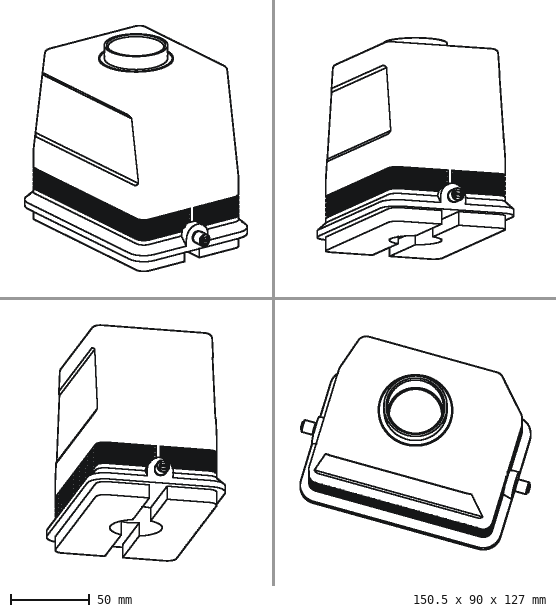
import cadquery as cq
import math

body_length = 121.0
body_width = 79.0
body_height = 118.2
corner_radius = 6.0
taper_start_height = 46.7
taper_angle = 10.0
taper_blend_radius = 7.0
top_edge_radius = 3.0

panel_depth = 1.0
panel_bottom = 57.0
panel_top = 102.8
panel_ramp_height = 2.0

flange_overhang = 5.5
flange_length = body_length + 2 * flange_overhang
flange_width = body_width + 2 * flange_overhang
flange_bottom = 8.75
flange_rim_height = 4.1
flange_slope_height = 5.1
foot_slot_width = 11.6

groove_count = 5
groove_bottom = 21.0
groove_width = 2.1
groove_pitch = 3.0
groove_depth = 1.0
groove_flank_height = 0.6
groove_gap_half_width = 1.25
groove_runout_radius = 3.1

pin_height = 17.4
lug_radius = 8.4
pin_neck_radius = 3.75
pin_neck_length = 1.0
pin_radius = 4.0
pin_length = 7.3
pin_chamfer = 0.3
pin_tip_radius = 2.5
pin_tip_height = 4.3
pin_tip_length = 0.95
pin_tip_slot_width = 1.0

overall_height = 127.0
neck_radius = 20.1
neck_bore_radius = 17.7
neck_bore_chamfer = 1.0
neck_bore_depth = 17.4
through_bore_radius = 16.6
ring_groove_outer_radius = 23.6
ring_groove_inner_radius = 23.1
ring_groove_depth = 0.5


def rounded_slab(length, width, radius, bottom, height, taper=0.0):
    """Rounded rectangle extruded up from a given height; a taper shrinks it."""
    outline = cq.Sketch().rect(length, width).vertices().fillet(radius)
    return cq.Workplane("XY", origin=(0, 0, bottom)).placeSketch(outline).extrude(height, taper=taper)


def both_ends(feature):
    """Feature at the -X end joined with its mirror image at the +X end."""
    return feature.union(feature.mirror("YZ"))


def make_body():
    half_length = body_length / 2
    lean = (body_height - taper_start_height) * math.tan(math.radians(taper_angle))
    body = (
        cq.Workplane("XZ", origin=(0, body_width / 2, 0))
        .moveTo(-half_length, 0)
        .lineTo(half_length, 0)
        .lineTo(half_length, taper_start_height)
        .lineTo(half_length - lean, body_height)
        .lineTo(-half_length + lean, body_height)
        .lineTo(-half_length, taper_start_height)
        .close()
        .extrude(body_width)
    )
    taper_edges = cq.selectors.BoxSelector(
        (-body_length, -body_width, taper_start_height - 1),
        (body_length, body_width, taper_start_height + 1),
    )
    body = body.edges("|Y").edges(taper_edges).fillet(taper_blend_radius)
    upright_edges = body.faces("<Y or >Y").edges("not(<Z or >Z)")
    body = upright_edges.fillet(corner_radius)
    return body.faces(">Z").edges().fillet(top_edge_radius)


def make_panel_cutter():
    """Trapezoidal bar that cuts the panel into the -Y face."""
    face = -body_width / 2
    floor = face + panel_depth
    return (
        cq.Workplane("YZ", origin=(-body_length / 2, 0, 0))
        .moveTo(face, panel_bottom)
        .lineTo(floor, panel_bottom + panel_ramp_height)
        .lineTo(floor, panel_top - panel_ramp_height)
        .lineTo(face, panel_top)
        .close()
        .extrude(body_length)
    )


def make_groove_gap():
    """Block at the -X end where the grooves run out to leave a smooth land."""
    face = -body_length / 2
    floor = face + groove_depth
    turn = math.acos(1 - groove_depth / groove_runout_radius)
    runout_half_width = groove_gap_half_width + groove_runout_radius * math.sin(turn)
    middle_depth = groove_runout_radius * (1 - math.cos(turn / 2))
    middle_half_width = runout_half_width - groove_runout_radius * math.sin(turn / 2)
    return (
        cq.Workplane("XY", origin=(0, 0, groove_bottom))
        .moveTo(face, -groove_gap_half_width)
        .threePointArc((floor - middle_depth, -middle_half_width), (floor, -runout_half_width))
        .lineTo(floor, runout_half_width)
        .threePointArc((floor - middle_depth, middle_half_width), (face, groove_gap_half_width))
        .close()
        .extrude((groove_count - 1) * groove_pitch + groove_width)
    )


def make_groove_cutter(bottom):
    """Trapezoidal ring around the body: a slab less its waisted core."""
    flank_angle = math.degrees(math.atan(groove_depth / groove_flank_height))
    ring = rounded_slab(body_length, body_width, corner_radius, bottom, groove_width)
    lower_flank = rounded_slab(
        body_length, body_width, corner_radius, bottom, groove_flank_height, flank_angle
    )
    upper_flank = lower_flank.mirror("XY", (0, 0, bottom + groove_width / 2))
    floor = rounded_slab(
        body_length - 2 * groove_depth,
        body_width - 2 * groove_depth,
        corner_radius - groove_depth,
        bottom,
        groove_width,
    )
    return ring.cut(floor).cut(lower_flank).cut(upper_flank)


def make_flange():
    radius = corner_radius + flange_overhang
    slope_bottom = flange_bottom + flange_rim_height
    slope_angle = math.degrees(math.atan(flange_overhang / flange_slope_height))
    rim = rounded_slab(flange_length, flange_width, radius, flange_bottom, flange_rim_height)
    slope = rounded_slab(
        flange_length, flange_width, radius, slope_bottom, flange_slope_height, slope_angle
    )
    return rim.union(slope)


def make_lug():
    """Round-topped lug flush with the -X rim of the flange."""
    depth = flange_overhang + groove_depth
    return (
        cq.Workplane("YZ", origin=(-flange_length / 2, 0, 0))
        .moveTo(-lug_radius, flange_bottom)
        .lineTo(-lug_radius, pin_height)
        .threePointArc((0, pin_height + lug_radius), (lug_radius, pin_height))
        .lineTo(lug_radius, flange_bottom)
        .close()
        .extrude(depth)
    )


def make_pin():
    """Pin pointing along -X, with a slotted tip flattened above and below."""
    lug_face = cq.Workplane("YZ", origin=(-flange_length / 2, 0, pin_height))
    neck = lug_face.circle(pin_neck_radius).extrude(-pin_neck_length)
    shank = lug_face.workplane(offset=-pin_neck_length).circle(pin_radius).extrude(-pin_length)
    shank = shank.faces("<X").chamfer(pin_chamfer)
    tip_plane = lug_face.workplane(offset=-pin_neck_length - pin_length)
    tip_flats = tip_plane.rect(2 * pin_tip_radius, pin_tip_height).extrude(-pin_tip_length)
    tip = tip_plane.circle(pin_tip_radius).extrude(-pin_tip_length).intersect(tip_flats)
    slot = tip_plane.rect(2 * pin_tip_radius, pin_tip_slot_width).extrude(-pin_tip_length)
    return neck.union(shank).union(tip.cut(slot))


def add_cable_entry(part):
    """Neck inside a fine ring groove, with a stepped bore down through the part."""
    top = cq.Workplane("XY", origin=(0, 0, body_height))
    ring_outline = top.circle(ring_groove_outer_radius).circle(ring_groove_inner_radius)
    ring_groove = ring_outline.extrude(-ring_groove_depth)
    neck = top.circle(neck_radius).extrude(overall_height - body_height)
    rim = cq.Workplane("XY", origin=(0, 0, overall_height))
    bore = rim.circle(neck_bore_radius).extrude(-neck_bore_depth)
    through_bore = rim.circle(through_bore_radius).extrude(-overall_height)
    part = part.cut(ring_groove).union(neck).cut(bore).cut(through_bore)
    mouth = cq.selectors.RadiusNthSelector(0)
    return part.faces(">Z").edges(mouth).chamfer(neck_bore_chamfer)


def cut_foot_slot(part):
    """Slot along the foot, from end to end, up to the flange."""
    slot = cq.Workplane("XY").rect(flange_length, foot_slot_width).extrude(flange_bottom)
    return part.cut(slot)


body = make_body()

panel = make_panel_cutter()
body = body.cut(panel).cut(panel.mirror("XZ"))

groove_gaps = both_ends(make_groove_gap())
for index in range(groove_count):
    groove = make_groove_cutter(groove_bottom + index * groove_pitch)
    body = body.cut(groove.cut(groove_gaps))

hood = body.union(make_flange())
hood = hood.union(both_ends(make_lug())).union(both_ends(make_pin()))
hood = add_cable_entry(hood)
result = cut_foot_slot(hood)